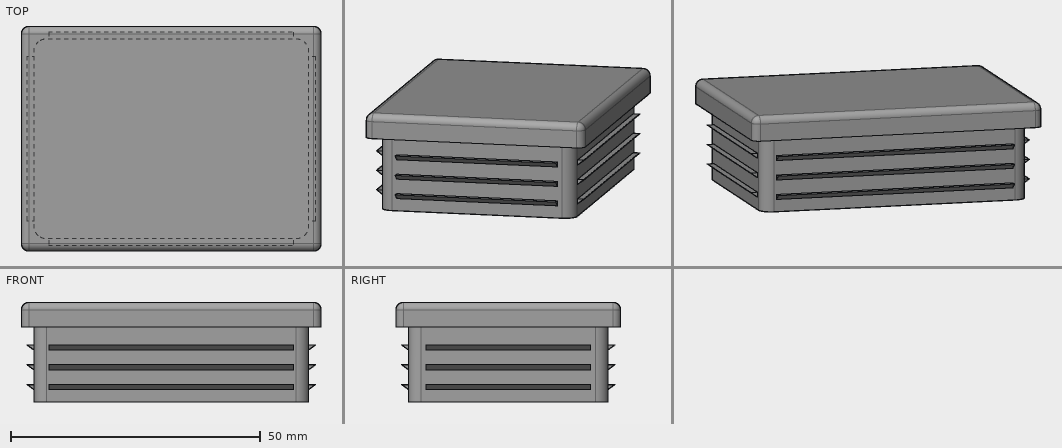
import cadquery as cq

cap_length = 60.0
cap_width = 45.0
cap_thickness = 5.0
cap_round = 1.5

plug_length = 55.0
plug_width = 39.95
plug_height = 15.0
plug_corner_radius = 2.5

fin_reach = 1.4
fin_height = 1.0
fin_pitch = 3.95
fin_count = 3
lowest_fin_top = 3.55
long_fin_length = 49.0
short_fin_length = 33.0
fin_overlap = 0.3


def make_plug():
    plug = cq.Workplane("XY").rect(plug_length, plug_width).extrude(plug_height)
    return plug.edges("|Z").fillet(plug_corner_radius)


def make_cap():
    cap = (
        cq.Workplane("XY", origin=(0, 0, plug_height))
        .rect(cap_length, cap_width)
        .extrude(cap_thickness)
    )
    return cap.edges("|Z or >Z").fillet(cap_round)


def make_fin(wall_distance, length, top):
    """Fin along Y on the +X side, with its root on a wall at the given distance."""
    root = wall_distance - fin_overlap
    profile = [
        (root, top),
        (wall_distance + fin_reach, top),
        (wall_distance, top - fin_height),
        (root, top - fin_height),
    ]
    return cq.Workplane("XZ").polyline(profile).close().extrude(length / 2, both=True)


result = make_plug().union(make_cap())

for level in range(fin_count):
    fin_top = lowest_fin_top + level * fin_pitch
    short_fin = make_fin(plug_length / 2, short_fin_length, fin_top)
    long_fin = make_fin(plug_width / 2, long_fin_length, fin_top)
    for fin, angle in ((short_fin, 0), (long_fin, 90), (short_fin, 180), (long_fin, 270)):
        result = result.union(fin.rotate((0, 0, 0), (0, 0, 1), angle))